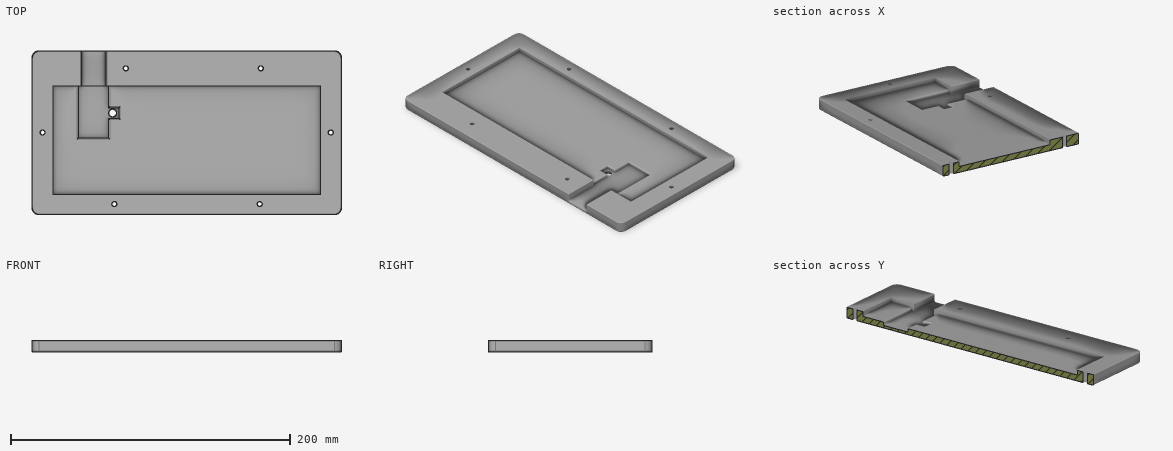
import cadquery as cq

length = 221.5
width = 117.2
height = 8.5
corner_radius = 5.0
top_edge_radius = 0.5
bottom_edge_radius = 1.0

pocket_length = 191.5
pocket_width = 77.8
pocket_depth = 3.6
pocket_center_y = -5.25

recess_floor_z = 2.3
recess_left = -77.5
recess_right = -56.1
recess_bottom = -3.6
recess_rim_radius = 1.0
tab_right = -48.6
tab_bottom = 10.4
tab_top = 17.9

channel_floor_z = 2.4
channel_left = -75.5
channel_right = -57.7
channel_floor_radius = 0.7

screw_hole_diameter = 3.4
screw_hole_centers = [
    (-43.6, 46.1),
    (53.0, 46.1),
    (-103.2, 0.2),
    (103.1, 0.2),
    (-51.8, -51.0),
    (52.2, -51.0),
]
cable_hole_diameter = 5.5
cable_hole_center = (-53.05, 14.15)

pocket_floor_z = height - pocket_depth
pocket_top = pocket_center_y + pocket_width / 2
pocket_bottom = pocket_center_y - pocket_width / 2

pick_margin = 0.2


def block(x_min, x_max, y_min, y_max, z_min, z_max):
    """Box between the given limits."""
    size = (x_max - x_min, y_max - y_min, z_max - z_min)
    return cq.Workplane("XY").box(*size, centered=False).translate((x_min, y_min, z_min))


def make_plate():
    """Plate with rounded corners and a rounded bottom edge."""
    plate = cq.Workplane("XY").box(length, width, height, centered=(True, True, False))
    plate = plate.edges("|Z").fillet(corner_radius)
    return plate.faces("<Z").edges().fillet(bottom_edge_radius)


def cut_channel(body):
    """Cut the channel with rounded floor corners, reaching from mid-plate to the +Y side."""
    channel = block(channel_left, channel_right, 0, width / 2, channel_floor_z, height)
    channel = channel.edges("|Y").edges("<Z").fillet(channel_floor_radius)
    return body.cut(channel)


def round_top_edges(body):
    """Round the rim of the top face and the channel mouth on the +Y side."""
    mouth = cq.selectors.BoxSelector(
        (channel_left - pick_margin, pocket_top, channel_floor_z - pick_margin),
        (channel_right + pick_margin, width, height - pick_margin),
    )
    edges = body.faces(">Z").edges().add(body.faces(">Y").edges(mouth))
    return body.newObject(edges.vals()).fillet(top_edge_radius)


def cut_pocket(body):
    """Cut the shallow rectangular pocket."""
    half_length = pocket_length / 2
    return body.cut(block(-half_length, half_length, pocket_bottom, pocket_top, pocket_floor_z, height))


def cut_recess(body):
    """Cut the recess and its tab into the pocket floor and round their upper rim."""
    recess = block(recess_left, recess_right, recess_bottom, pocket_top, recess_floor_z, pocket_floor_z)
    tab = block(recess_right, tab_right, tab_bottom, tab_top, recess_floor_z, pocket_floor_z)
    body = body.cut(recess.union(tab))
    rim = cq.selectors.BoxSelector(
        (recess_left - pick_margin, recess_bottom - pick_margin, pocket_floor_z - pick_margin),
        (tab_right + pick_margin, pocket_top - pick_margin, pocket_floor_z + pick_margin),
    )
    return body.edges(rim).fillet(recess_rim_radius)


def cut_holes(body, centers, diameter):
    """Cut round vertical holes through the full height."""
    return body.cut(cq.Workplane("XY").pushPoints(centers).circle(diameter / 2).extrude(height))


result = make_plate()
result = cut_channel(result)
result = round_top_edges(result)
result = cut_pocket(result)
result = cut_recess(result)
result = cut_holes(result, screw_hole_centers, screw_hole_diameter)
result = cut_holes(result, [cable_hole_center], cable_hole_diameter)